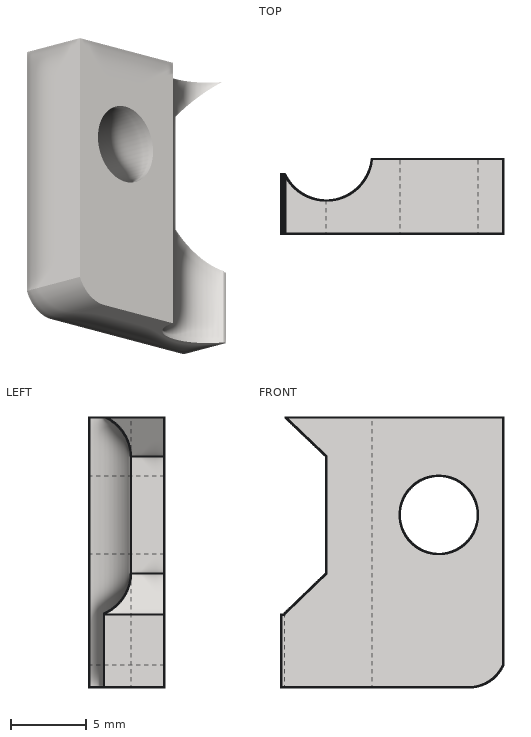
import cadquery as cq
import math

width = 14.8
thickness = 5.0
height = 18.0

notch_depth = 3.0
notch_bottom = 7.6
notch_top = 15.4
upper_tip_x = 0.28
step_height = 4.85
step_ledge = 0.15

corner_radius = 2.5
corner_rise = 1.5

hole_diameter = 5.2
hole_from_right = 4.3
hole_height = 11.5

groove_radius = 3.05
groove_x = 3.0
groove_depth = 2.77

lip_thickness = 4.0


def make_plate():
    """Side outline extruded through the thickness."""
    sweep = math.acos((corner_radius - corner_rise) / corner_radius)
    arc_start_x = width - corner_radius * math.sin(sweep)
    arc_mid_x = arc_start_x + corner_radius * math.sin(sweep / 2)
    arc_mid_z = corner_radius * (1 - math.cos(sweep / 2))
    return (
        cq.Workplane("XZ")
        .lineTo(arc_start_x, 0)
        .threePointArc((arc_mid_x, arc_mid_z), (width, corner_rise))
        .lineTo(width, height)
        .lineTo(upper_tip_x, height)
        .lineTo(notch_depth, notch_top)
        .lineTo(notch_depth, notch_bottom)
        .lineTo(step_ledge, step_height)
        .lineTo(0, step_height)
        .close()
        .extrude(-thickness)
    )


def make_hole():
    return (
        cq.Workplane("XZ")
        .center(width - hole_from_right, hole_height)
        .circle(hole_diameter / 2)
        .extrude(-thickness)
    )


def make_groove():
    groove_y = thickness - groove_depth + groove_radius
    return cq.Workplane("XY").center(groove_x, groove_y).circle(groove_radius).extrude(height)


def make_lip_relief():
    """Block above the lip, reaching from the left side to the groove centre line."""
    return cq.Workplane("XY").box(
        groove_x, thickness - lip_thickness, height, centered=False
    ).translate((0, lip_thickness, 0))


result = make_plate().cut(make_hole()).cut(make_groove()).cut(make_lip_relief())